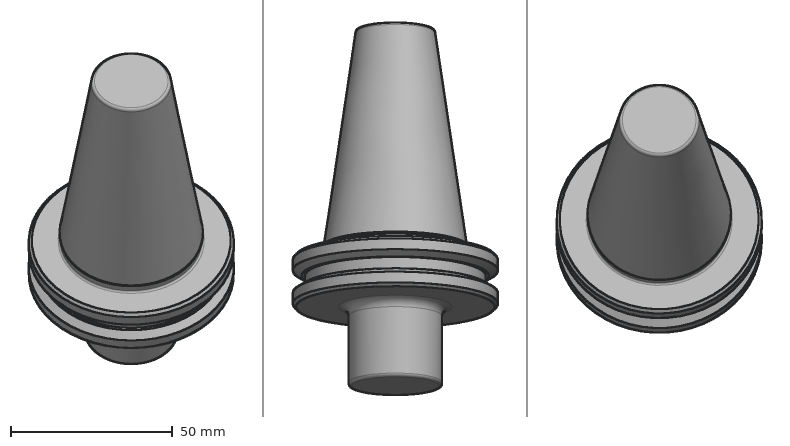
import cadquery as cq
import math


gauge_radius = 44.45 / 2
taper_length = 68.4
taper_slope = 7 / 24 / 2
taper_tip_fillet = 1.0

neck_radius = 22.0
neck_step_height = 0.6
neck_root_fillet = 0.6

flange_radius = 63.5 / 2
flange_top = -3.2
flange_bottom = -19.1
flange_chamfer = 1.0
groove_center = -11.15
groove_mouth_width = 7.1
groove_floor_width = 3.75
groove_floor_radius = 28.0
groove_wall_depth = 2.8

shank_radius = 14.5
shank_length = 25.0
shank_root_fillet = 3.0
shank_end_fillet = 1.0

shank_bottom = flange_bottom - shank_length


def turned_taper():
    """Taper with a rounded tip and a short step down to the neck."""
    tip_radius = gauge_radius - taper_length * taper_slope
    cone = (
        cq.Workplane("XZ")
        .moveTo(0, taper_length)
        .lineTo(tip_radius, taper_length)
        .lineTo(gauge_radius, 0)
        .lineTo(neck_radius, -neck_step_height)
        .lineTo(0, -neck_step_height)
        .close()
        .revolve(360, (0, 0, 0), (0, 1, 0))
    )
    return cone.faces(">Z").edges().fillet(taper_tip_fillet)


def filleted_stem(radius, root, end, fillet):
    """Cylinder from root to end that flares into the flange face at its root."""
    outward = 1 if end > root else -1
    tangent_point = root + outward * fillet
    flare_radius = radius + fillet
    mid_offset = fillet * (1 - math.cos(math.pi / 4))
    return (
        cq.Workplane("XZ")
        .moveTo(0, end)
        .lineTo(radius, end)
        .lineTo(radius, tangent_point)
        .threePointArc((radius + mid_offset, root + outward * mid_offset), (flare_radius, root))
        .lineTo(0, root)
        .close()
        .revolve(360, (0, 0, 0), (0, 1, 0))
    )


def chamfered_flange():
    """Flange disc with both rims chamfered."""
    return (
        cq.Workplane("XY", origin=(0, 0, flange_bottom))
        .circle(flange_radius)
        .extrude(flange_top - flange_bottom)
        .faces("<Z or >Z")
        .edges()
        .chamfer(flange_chamfer)
    )


def gripper_groove():
    """Ring to cut: sloping walls, then a straight-sided channel down to the floor."""
    half_mouth = groove_mouth_width / 2
    half_floor = groove_floor_width / 2
    wall_foot_radius = flange_radius - groove_wall_depth
    return (
        cq.Workplane("XZ")
        .moveTo(flange_radius, groove_center + half_mouth)
        .lineTo(wall_foot_radius, groove_center + half_floor)
        .lineTo(groove_floor_radius, groove_center + half_floor)
        .lineTo(groove_floor_radius, groove_center - half_floor)
        .lineTo(wall_foot_radius, groove_center - half_floor)
        .lineTo(flange_radius, groove_center - half_mouth)
        .close()
        .revolve(360, (0, 0, 0), (0, 1, 0))
    )


neck = filleted_stem(neck_radius, flange_top, -neck_step_height, neck_root_fillet)
shank = filleted_stem(shank_radius, flange_bottom, shank_bottom, shank_root_fillet)
shank = shank.faces("<Z").edges().fillet(shank_end_fillet)
flange = chamfered_flange().cut(gripper_groove())

result = flange.union(neck).union(turned_taper()).union(shank)